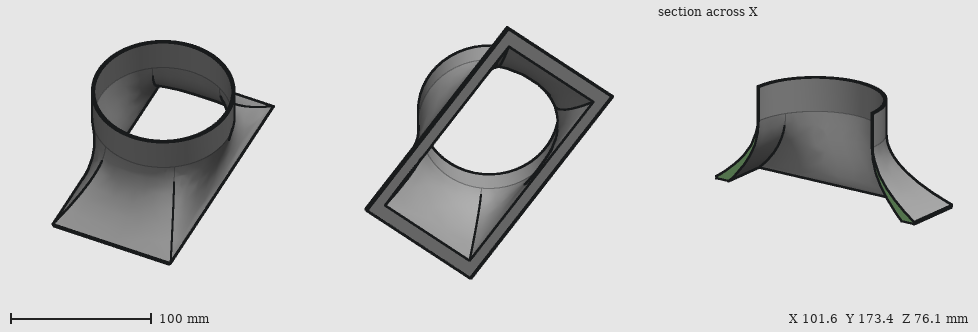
import cadquery as cq
import math

outer_diameter = 101.6
inner_diameter = 98.5
total_height = 76.1
collar_base = 50.8

foot_width = 92.6
foot_length = 173.4
foot_edge_height = 1.7
bevel = 1.2
opening_width = 73.9
opening_length = 151.5

side_slope_at_foot = -19
side_slope_at_collar = 8.7
inner_side_slope_at_foot = 0
section_count = 7
arc_rise = 0.02
back_right_seam = math.radians(61)
front_right_seam = math.radians(-56)


def flare(start, end, t):
    """Parabola that leaves the foot obliquely and meets the collar vertically."""
    return end + (start - end) * (1 - t) ** 2


def side_curve(start, end, start_slope, end_slope, t):
    """Cubic Hermite curve down the middle of a long side."""
    u = 1 - t
    return (
        start * (1 + 2 * t) * u**2
        + end * t**2 * (3 - 2 * t)
        + start_slope * t * u**2
        - end_slope * t**2 * u
    )


def section(z, back_corner, front_corner, side_x, end_y):
    """Closed wire of four arcs through two right-hand corners and their opposites."""
    back_x, back_y = back_corner
    front_x, front_y = front_corner
    return (
        cq.Workplane("XY", origin=(0, 0, z))
        .moveTo(front_x, front_y)
        .threePointArc((side_x, 0), (back_x, back_y))
        .threePointArc((0, end_y), (-front_x, -front_y))
        .threePointArc((-side_x, 0), (-back_x, -back_y))
        .threePointArc((0, -end_y), (front_x, front_y))
        .close()
        .val()
    )


def seam_point(foot_x, foot_y, radius, angle, t):
    """Point on the seam from a foot corner to the collar circle."""
    return (
        flare(foot_x, radius * math.cos(angle), t),
        flare(foot_y, radius * math.sin(angle), t),
    )


def transition(width, length, diameter, base, foot_slope):
    """Solid that blends a rectangle at the base into the collar circle."""
    radius = diameter / 2
    corner_x = width / 2 - arc_rise
    corner_y = length / 2 - arc_rise
    sections = []
    for i in range(section_count):
        t = i / (section_count - 1)
        z = base + (collar_base - base) * t
        back_corner = seam_point(corner_x, corner_y, radius, back_right_seam, t)
        front_corner = seam_point(corner_x, -corner_y, radius, front_right_seam, t)
        side_x = side_curve(width / 2, radius, foot_slope, side_slope_at_collar, t)
        end_y = flare(length / 2, radius, t)
        sections.append(section(z, back_corner, front_corner, side_x, end_y))
    return cq.Workplane(cq.Solid.makeLoft(sections, False))


def cylinder(diameter):
    return (
        cq.Workplane("XY", origin=(0, 0, collar_base))
        .circle(diameter / 2)
        .extrude(total_height - collar_base)
    )


foot = (
    cq.Workplane("XY")
    .rect(foot_width - 2 * bevel, foot_length)
    .workplane(offset=foot_edge_height)
    .rect(foot_width, foot_length)
    .loft(ruled=True)
)

outer_flare = transition(foot_width, foot_length, outer_diameter, foot_edge_height, side_slope_at_foot)
inner_flare = transition(opening_width, opening_length, inner_diameter, 0, inner_side_slope_at_foot)

outer = foot.union(outer_flare).union(cylinder(outer_diameter))
result = outer.cut(inner_flare).cut(cylinder(inner_diameter))